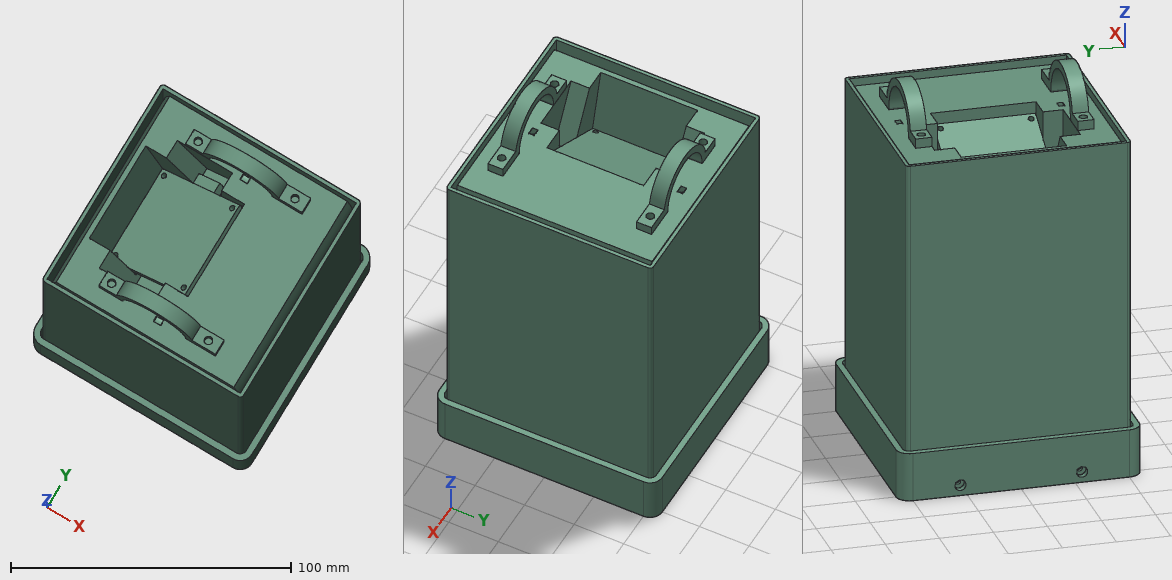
import cadquery as cq
import math

TOTAL_HEIGHT = 143.4

TRAY_SIDE = 90.0
TRAY_HEIGHT = 18.3
TRAY_CORNER_RADIUS = 5.0
TRAY_WALL = 2.5
TRAY_FLOOR = 1.5

CASE_GAP = 1.0
CASE_SIDE = TRAY_SIDE - 2 * (TRAY_WALL + CASE_GAP)
CASE_WALL = 1.5
CASE_CORNER_RADIUS = 1.5
CASE_TOP = 128.5

SCREW_Y = 22.5
SCREW_Z = 4.0
TRAY_SCREW_DIAMETER = 4.0
CASE_SCREW_DIAMETER = 2.0

FLOOR_SLOT_X = -12.9
FLOOR_SLOT_LENGTH = 5.7

DRUM_CLEARANCE = 1.0
DRUM_RADIUS = CASE_SIDE / 2 - CASE_WALL - DRUM_CLEARANCE
DRUM_LENGTH = 78.5
DRUM_FLAT_HEIGHT = 12.9
DECK_DEPTH = 1.6
DECK_Z = CASE_TOP - DECK_DEPTH
DRUM_AXIS_Z = DECK_Z - DRUM_FLAT_HEIGHT

TILT = math.radians(30)
LEAN = math.radians(75)
POCKET_MIN_X = -35.0
POCKET_MAX_X = 6.0
POCKET_WIDTH = 39.0
CHANNEL_MIN_X = -26.4
CHANNEL_MAX_X = -3.5
CHANNEL_CORNER_X = -14.0
CHANNEL_WIDTH = 53.9
CHANNEL_DEPTH = 3.0

CHANNEL_CORNER_Z = DECK_Z - (CHANNEL_CORNER_X - CHANNEL_MIN_X) / math.tan(TILT)

PLATE_LENGTH = 37.1
PLATE_WIDTH = 37.8
PLATE_THICKNESS = 3.0
PLATE_MAX_X = 4.5
PLATE_HOLE_DIAMETER = 2.0
PLATE_HOLE_INSET = 2.2
CONNECTOR_LENGTH = 10.0
CONNECTOR_HEIGHT = 4.0
CONNECTOR_GAP = 1.0
CONNECTOR_MIN_Y = 14.3
CONNECTOR_MAX_Y = 23.4

HANDLE_Y = 30.0
HANDLE_WIDTH = 6.0
ARCH_OUTER_RADIUS = 16.0
ARCH_THICKNESS = 3.0
ARCH_INNER_RADIUS = ARCH_OUTER_RADIUS - ARCH_THICKNESS
ARCH_AXIS_Z = TOTAL_HEIGHT - ARCH_OUTER_RADIUS
LUG_THICKNESS = 3.6
SHORT_LUG_END_X = -23.0
LONG_LUG_END_X = 25.5
LUG_HOLE_DIAMETER = 3.0

TUNNEL_MIN_X = 0.0
TUNNEL_WIDTH = 3.0
TUNNEL_OUTER_RADIUS = 3.6
TUNNEL_INNER_RADIUS = 1.5


def rounded_block(side, height, radius, bottom_z):
    """Square block with rounded upright corners."""
    block = cq.Workplane("XY").workplane(offset=bottom_z).rect(side, side).extrude(height)
    return block.edges("|Z").fillet(radius)


def screw_drills(diameter):
    """Two cylinders along X that pass through the -X walls and end inside the case."""
    centres = [(-SCREW_Y, SCREW_Z), (SCREW_Y, SCREW_Z)]
    return cq.Workplane("YZ").pushPoints(centres).circle(diameter / 2).extrude(-TRAY_SIDE)


def extruded_along_y(points, width, centre_y=0.0):
    """Prism with an XZ outline, centred on centre_y."""
    prism = cq.Workplane("XZ").polyline(points).close().extrude(width / 2, both=True)
    return prism.translate((0, centre_y, 0))


def pocket_floor_z(x):
    """Height of the sloping pocket floor at x."""
    corner_floor_z = CHANNEL_CORNER_Z + CHANNEL_DEPTH / math.cos(TILT)
    return corner_floor_z + (x - CHANNEL_CORNER_X) * math.tan(TILT)


def make_tray():
    tray = rounded_block(TRAY_SIDE, TRAY_HEIGHT, TRAY_CORNER_RADIUS, 0)
    cavity = rounded_block(
        TRAY_SIDE - 2 * TRAY_WALL, TRAY_HEIGHT, TRAY_CORNER_RADIUS - TRAY_WALL, TRAY_FLOOR
    )
    slot_y = -(CASE_SIDE + CASE_GAP) / 2
    floor_slot = cq.Workplane("XY").center(FLOOR_SLOT_X, slot_y)
    floor_slot = floor_slot.rect(FLOOR_SLOT_LENGTH, CASE_GAP).extrude(TRAY_FLOOR)
    return tray.cut(cavity).cut(floor_slot).cut(screw_drills(TRAY_SCREW_DIAMETER))


def make_case():
    height = CASE_TOP - TRAY_FLOOR
    inner_side = CASE_SIDE - 2 * CASE_WALL
    case = rounded_block(CASE_SIDE, height, CASE_CORNER_RADIUS, TRAY_FLOOR)
    bore = cq.Workplane("XY").workplane(offset=TRAY_FLOOR).rect(inner_side, inner_side).extrude(height)
    return case.cut(bore).cut(screw_drills(CASE_SCREW_DIAMETER))


def pocket_cutter():
    """Wedge between the leaning wall, the sloping floor and the upright +X wall."""
    floor_z_at_mouth = pocket_floor_z(POCKET_MIN_X)
    run = (DECK_Z - floor_z_at_mouth) / (math.tan(LEAN) + math.tan(TILT))
    foot_x = POCKET_MIN_X + run
    outline = [
        (POCKET_MIN_X, DECK_Z),
        (foot_x, pocket_floor_z(foot_x)),
        (POCKET_MAX_X, pocket_floor_z(POCKET_MAX_X)),
        (POCKET_MAX_X, DECK_Z),
    ]
    return extruded_along_y(outline, POCKET_WIDTH)


def channel_cutter():
    """Square-cornered trough, tilted like the pocket floor, that runs on past it in Y."""
    end_rise = (CHANNEL_MAX_X - CHANNEL_CORNER_X) * math.tan(TILT)
    outline = [
        (CHANNEL_MIN_X, DECK_Z),
        (CHANNEL_CORNER_X, CHANNEL_CORNER_Z),
        (CHANNEL_MAX_X, CHANNEL_CORNER_Z + end_rise),
        (CHANNEL_MAX_X, DECK_Z),
    ]
    return extruded_along_y(outline, CHANNEL_WIDTH)


def tunnel_cutter(centre_y):
    """Ring around an X axis lying in the flat; its lower half is the tunnel."""
    ring = cq.Workplane("YZ").workplane(offset=TUNNEL_MIN_X).center(centre_y, DECK_Z)
    return ring.circle(TUNNEL_OUTER_RADIUS).circle(TUNNEL_INNER_RADIUS).extrude(TUNNEL_WIDTH)


def make_drum():
    half_length = DRUM_LENGTH / 2
    drum = cq.Workplane("XZ").center(0, DRUM_AXIS_Z).circle(DRUM_RADIUS).extrude(half_length, both=True)
    above_flat = cq.Workplane("XY").workplane(offset=DECK_Z)
    above_flat = above_flat.rect(2 * DRUM_RADIUS, 2 * DRUM_LENGTH).extrude(DRUM_RADIUS)
    drum = drum.cut(above_flat).cut(pocket_cutter()).cut(channel_cutter())
    for side in (-1, 1):
        drum = drum.cut(tunnel_cutter(side * HANDLE_Y))
    return drum


def make_display():
    origin_x = PLATE_MAX_X + PLATE_THICKNESS * math.sin(TILT)
    slope = cq.Plane(
        origin=(origin_x, 0, pocket_floor_z(origin_x)),
        xDir=(math.cos(TILT), 0, math.sin(TILT)),
        normal=(-math.sin(TILT), 0, math.cos(TILT)),
    )
    plate = cq.Workplane(slope).center(-PLATE_LENGTH / 2, 0).rect(PLATE_LENGTH, PLATE_WIDTH)
    plate = plate.extrude(PLATE_THICKNESS)
    holes = cq.Workplane(slope).center(-PLATE_LENGTH / 2, 0)
    holes = holes.rect(
        PLATE_LENGTH - 2 * PLATE_HOLE_INSET,
        PLATE_WIDTH - 2 * PLATE_HOLE_INSET,
        forConstruction=True,
    )
    holes = holes.vertices().circle(PLATE_HOLE_DIAMETER / 2).extrude(PLATE_THICKNESS)

    channel_floor = cq.Plane(
        origin=(CHANNEL_CORNER_X, CONNECTOR_MIN_Y, CHANNEL_CORNER_Z),
        xDir=slope.xDir,
        normal=slope.zDir,
    )
    connector = cq.Workplane(channel_floor).center(CONNECTOR_GAP, 0)
    connector = connector.rect(CONNECTOR_LENGTH, CONNECTOR_MAX_Y - CONNECTOR_MIN_Y, centered=False)
    connector = connector.extrude(CONNECTOR_HEIGHT)
    return plate.cut(holes).union(connector)


def make_handle(centre_y):
    outline = (
        cq.Workplane("XZ")
        .moveTo(SHORT_LUG_END_X, DECK_Z)
        .lineTo(-ARCH_INNER_RADIUS, DECK_Z)
        .lineTo(-ARCH_INNER_RADIUS, ARCH_AXIS_Z)
        .threePointArc((0, ARCH_AXIS_Z + ARCH_INNER_RADIUS), (ARCH_INNER_RADIUS, ARCH_AXIS_Z))
        .lineTo(ARCH_INNER_RADIUS, DECK_Z)
        .lineTo(LONG_LUG_END_X, DECK_Z)
    )
    lug_top_z = DECK_Z + LUG_THICKNESS
    shoulder_x = math.sqrt(ARCH_OUTER_RADIUS**2 - (lug_top_z - ARCH_AXIS_Z) ** 2)
    outline = (
        outline.lineTo(LONG_LUG_END_X, lug_top_z)
        .lineTo(shoulder_x, lug_top_z)
        .threePointArc((0, TOTAL_HEIGHT), (-shoulder_x, lug_top_z))
        .lineTo(SHORT_LUG_END_X, lug_top_z)
        .close()
    )
    handle = outline.extrude(HANDLE_WIDTH / 2, both=True)
    hole_centres = [
        ((SHORT_LUG_END_X - ARCH_OUTER_RADIUS) / 2, 0),
        ((LONG_LUG_END_X + ARCH_OUTER_RADIUS) / 2, 0),
    ]
    holes = cq.Workplane("XY").workplane(offset=DECK_Z).pushPoints(hole_centres)
    holes = holes.circle(LUG_HOLE_DIAMETER / 2).extrude(LUG_THICKNESS)
    return handle.cut(holes).translate((0, centre_y, 0))


tray = make_tray()
case = make_case()
drum = make_drum()
display = make_display()
handles = [make_handle(side * HANDLE_Y) for side in (-1, 1)]

result = cq.Compound.makeCompound(
    [tray.val(), case.val(), drum.val(), display.val(), *[handle.val() for handle in handles]]
)